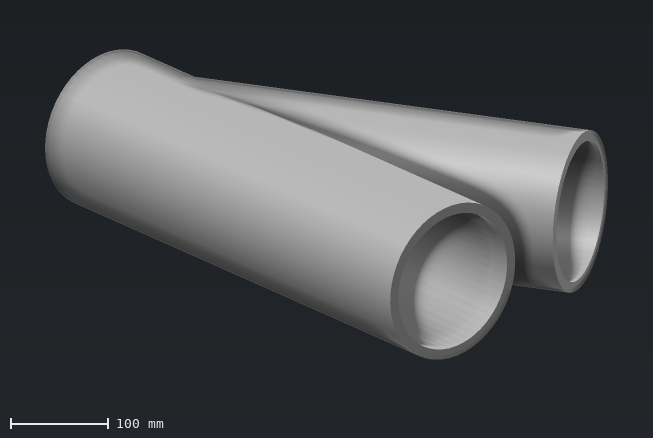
import cadquery as cq
import math

outer_diameter = 168.275
wall_thickness = 10.9728
bore_diameter = outer_diameter - 2 * wall_thickness

branch_angle = 30.0
long_leg = 444.5
short_leg = 101.6

axis_crossing = cq.Vector(0, 0, 0)
run_direction = cq.Vector(1, 0, 0)
branch_direction = cq.Vector(
    math.cos(math.radians(branch_angle)),
    math.sin(math.radians(branch_angle)),
    0,
)
inlet_center = axis_crossing - run_direction * short_leg


def run_cylinder(diameter):
    """Straight cylinder along X, from the inlet face to the outlet face."""
    return cq.Solid.makeCylinder(diameter / 2, short_leg + long_leg, inlet_center, run_direction)


def branch_cylinder(diameter):
    """Inclined cylinder from the axis crossing to the branch face."""
    return cq.Solid.makeCylinder(diameter / 2, long_leg, axis_crossing, branch_direction)


def lateral_body(diameter):
    """Run and branch cylinders of one diameter, joined.

    The flat start of the branch lies wholly inside the run, so the join leaves no step.
    """
    run = cq.Workplane(obj=run_cylinder(diameter))
    branch = cq.Workplane(obj=branch_cylinder(diameter))
    return run.union(branch)



result = lateral_body(outer_diameter).cut(lateral_body(bore_diameter))